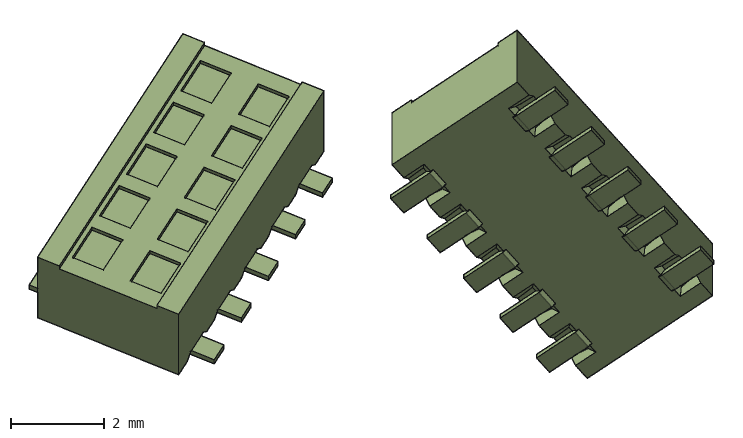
import cadquery as cq

body_length = 6.81
body_width = 3.39
total_height = 2.15
standoff = 0.04
lead_span = 4.45

contacts_per_row = 5
contact_row_span = 5.08
contact_pitch = contact_row_span / (contacts_per_row - 1)

channel_width = 2.34
channel_depth = 0.1
pocket_width = 0.74
pocket_length = 0.92
pocket_depth = 0.1
pocket_row_offset = 0.695

lead_width = 0.455
lead_thickness = 0.15
lead_bend_start = 1.18

notch_roof_width = 0.59
notch_mouth_height = 0.16
notch_inner_height = 0.115
notch_roof_depth = 0.435

contact_positions = [
    i * contact_pitch - contact_row_span / 2 for i in range(contacts_per_row)
]
channel_floor = total_height - channel_depth


def make_body():
    """Block with an open channel along its top, leaving a rib on each side."""
    block = cq.Workplane("XY").box(
        body_width, body_length, total_height - standoff, centered=(True, True, False)
    ).translate((0, 0, standoff))
    channel = cq.Workplane("XY").workplane(offset=channel_floor).rect(
        channel_width, body_length
    ).extrude(channel_depth)
    return block.cut(channel)


def make_pockets():
    """Two rows of shallow rectangular pockets below the channel floor."""
    centres = [(x, y) for x in (-pocket_row_offset, pocket_row_offset) for y in contact_positions]
    return (
        cq.Workplane("XY")
        .workplane(offset=channel_floor)
        .pushPoints(centres)
        .rect(pocket_width, pocket_length)
        .extrude(-pocket_depth)
    )


def make_notch():
    """Relief on the +X side at Y = 0: 45 degree flanks, a sloping roof and a 45 degree inner end."""
    wall = body_width / 2
    turn = wall - notch_roof_depth
    mouth_half_width = notch_roof_width / 2 + notch_mouth_height
    side_profile = (
        cq.Workplane("XZ")
        .moveTo(wall, standoff)
        .lineTo(wall, standoff + notch_mouth_height)
        .lineTo(turn, standoff + notch_inner_height)
        .lineTo(turn - notch_inner_height, standoff)
        .close()
        .extrude(mouth_half_width, both=True)
    )
    flanks = (
        cq.Workplane("YZ")
        .moveTo(-mouth_half_width, standoff)
        .lineTo(-notch_roof_width / 2, standoff + notch_mouth_height)
        .lineTo(notch_roof_width / 2, standoff + notch_mouth_height)
        .lineTo(mouth_half_width, standoff)
        .close()
        .extrude(wall)
    )
    return side_profile.intersect(flanks)


def make_lead():
    """Flat lead on the +X side at Y = 0, its underside curving up into the body."""
    return (
        cq.Workplane("XZ")
        .moveTo(lead_span / 2, 0)
        .lineTo(lead_span / 2, lead_thickness)
        .lineTo(lead_bend_start - lead_thickness, lead_thickness)
        .radiusArc((lead_bend_start, 0), -lead_thickness)
        .close()
        .extrude(lead_width / 2, both=True)
    )


def on_both_sides(shape, y):
    """The +X shape moved to y, together with its mirror image on the -X side."""
    placed = shape.translate((0, y, 0))
    return placed, placed.mirror("YZ")


result = make_body().cut(make_pockets())
notch = make_notch()
lead = make_lead()
for y in contact_positions:
    for notch_copy in on_both_sides(notch, y):
        result = result.cut(notch_copy)
    for lead_copy in on_both_sides(lead, y):
        result = result.union(lead_copy)